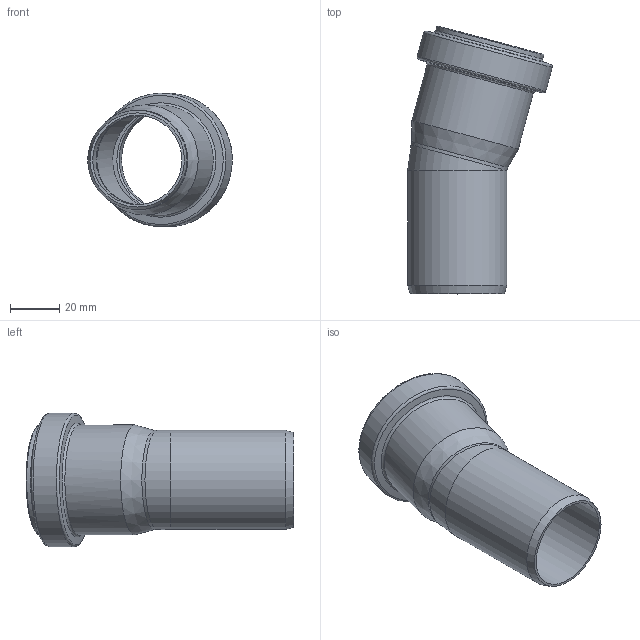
import cadquery as cq
import math


bend_angle = 15.0

spigot_diameter = 40.2
spigot_wall = 2.0
spigot_length = 50.0
spigot_lead_in_length = 3.4
spigot_lead_in_depth = 1.0

neck_end = 1.3
cone_end = 9.6
collar_start = 34.4
collar_end = 46.0
rim_end = 49.35

socket_wall = 1.9
tube_diameter = 44.6
collar_diameter = 54.1
rim_diameter = 44.9

collar_face_slope = 6.0
collar_fillet = 1.0
groove_mouth_fillet = 0.8
rim_fillet = 0.3

spigot_radius = spigot_diameter / 2
spigot_bore_radius = spigot_radius - spigot_wall
bend_radius = spigot_radius

tube_radius = tube_diameter / 2
tube_bore_radius = tube_radius - socket_wall
collar_radius = collar_diameter / 2
groove_radius = collar_radius - socket_wall
rim_radius = rim_diameter / 2
rim_bore_radius = rim_radius - socket_wall


def slope_rise(radius):
    """Axial rise of a sloped collar face from the collar rim in to the given radius."""
    return (collar_radius - radius) * math.tan(math.radians(collar_face_slope))


face_wall = socket_wall / math.cos(math.radians(collar_face_slope))
collar_start_root = collar_start - slope_rise(tube_radius)
collar_end_root = collar_end + slope_rise(rim_radius)
groove_start = collar_start - slope_rise(groove_radius) + face_wall
groove_start_mouth = collar_start - slope_rise(tube_bore_radius) + face_wall
groove_end = collar_end + slope_rise(groove_radius) - face_wall
groove_end_mouth = collar_end + slope_rise(rim_bore_radius) - face_wall

edge_margin = 0.05

Y_AXIS = ((0, 0, 0), (0, 1, 0))


def revolve_about_y(points):
    """Turn a closed (radius, length) outline a full turn about the Y axis."""
    return cq.Workplane("XY").polyline(points).close().revolve(360, *Y_AXIS)


def make_spigot():
    """Straight tube with a tapered lead-in at its open end."""
    return revolve_about_y([
        (spigot_bore_radius, 0),
        (spigot_radius - spigot_lead_in_depth, 0),
        (spigot_radius, spigot_lead_in_length),
        (spigot_radius, spigot_length),
        (spigot_bore_radius, spigot_length),
    ])


def make_bend():
    """Tube section swept through the bend angle, turning towards +X."""
    return (
        cq.Workplane("XZ", origin=(0, spigot_length, 0))
        .circle(spigot_radius)
        .circle(spigot_bore_radius)
        .revolve(bend_angle, (bend_radius, 1, 0), (bend_radius, 0, 0))
    )


def box_around_circle(radius, station):
    """Select whatever lies wholly inside a thin box of the given half-width at a station along Y."""
    return cq.selectors.BoxSelector(
        (-radius, station - edge_margin, -radius),
        (radius, station + edge_margin, radius),
        boundingbox=True,
    )


def fillet_circle(body, radius, station, fillet_radius):
    """Round the circular edge of the given radius that lies at a station along Y."""
    circle_and_smaller = box_around_circle(radius + edge_margin, station)
    smaller_only = box_around_circle(radius - edge_margin, station)
    return body.edges(circle_and_smaller - smaller_only).fillet(fillet_radius)


def make_socket():
    """Neck, widening cone, socket tube, seal collar and rim, built along +Y from the bend end."""
    socket = revolve_about_y([
        (spigot_bore_radius, 0),
        (spigot_radius, 0),
        (spigot_radius, neck_end),
        (tube_radius, cone_end),
        (tube_radius, collar_start_root),
        (collar_radius, collar_start),
        (collar_radius, collar_end),
        (rim_radius, collar_end_root),
        (rim_radius, rim_end),
        (rim_bore_radius, rim_end),
        (rim_bore_radius, groove_end_mouth),
        (groove_radius, groove_end),
        (groove_radius, groove_start),
        (tube_bore_radius, groove_start_mouth),
        (tube_bore_radius, cone_end),
        (spigot_bore_radius, neck_end),
    ])
    rounded_edges = [
        (tube_radius, collar_start_root, collar_fillet),
        (collar_radius, collar_start, collar_fillet),
        (collar_radius, collar_end, collar_fillet),
        (rim_radius, collar_end_root, collar_fillet),
        (rim_radius, rim_end, rim_fillet),
        (tube_bore_radius, groove_start_mouth, groove_mouth_fillet),
        (rim_bore_radius, groove_end_mouth, groove_mouth_fillet),
    ]
    for radius, station, fillet_radius in rounded_edges:
        socket = fillet_circle(socket, radius, station, fillet_radius)
    return socket


def place_at_bend_end(body):
    """Turn a body built along +Y onto the tilted axis at the end of the bend."""
    moved = body.translate((0, spigot_length, 0))
    pivot = (bend_radius, spigot_length, 0)
    pivot_end = (bend_radius, spigot_length, 1)
    return moved.rotate(pivot, pivot_end, -bend_angle)


result = make_spigot().union(make_bend()).union(place_at_bend_end(make_socket()))